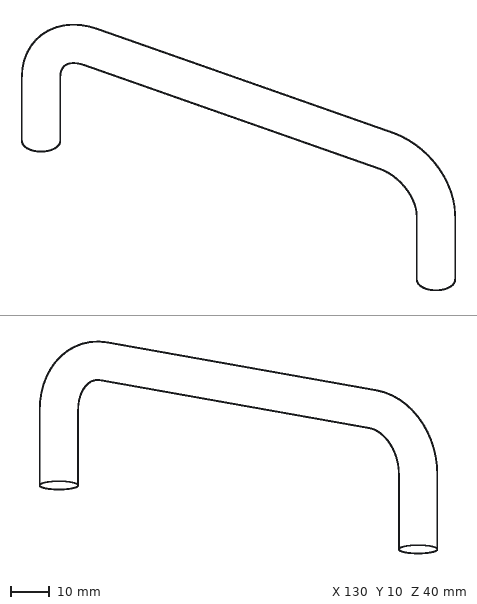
import cadquery as cq
import math

overall_length = 130.0
overall_height = 40.0
rod_diameter = 10.0
bend_radius = 1.5 * rod_diameter

rod_radius = rod_diameter / 2
leg_x = overall_length / 2 - rod_radius
grip_z = overall_height - rod_radius
bend_start_z = grip_z - bend_radius
grip_end_x = leg_x - bend_radius
bend_mid_offset = bend_radius * math.sin(math.radians(45))
bend_mid_x = grip_end_x + bend_mid_offset
bend_mid_z = bend_start_z + bend_mid_offset

centreline = (
    cq.Workplane("XZ")
    .moveTo(-leg_x, 0)
    .lineTo(-leg_x, bend_start_z)
    .threePointArc((-bend_mid_x, bend_mid_z), (-grip_end_x, grip_z))
    .lineTo(grip_end_x, grip_z)
    .threePointArc((bend_mid_x, bend_mid_z), (leg_x, bend_start_z))
    .lineTo(leg_x, 0)
)

result = (
    cq.Workplane("XY")
    .center(-leg_x, 0)
    .circle(rod_radius)
    .sweep(centreline)
)